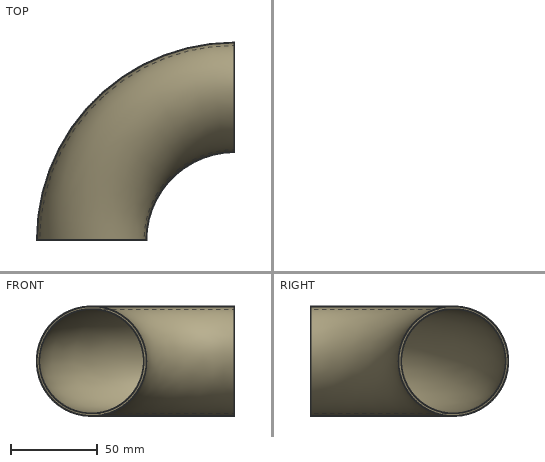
import cadquery as cq

overall_length = 114.2
outer_diameter = 63.5
wall_thickness = 1.6
bend_angle = 90.0

outer_radius = outer_diameter / 2
inner_radius = outer_radius - wall_thickness
bend_radius = overall_length - outer_radius


def pipe_bend():
    """Sweep the pipe ring from the open end facing -Y to the one facing +X."""
    ring = (
        cq.Workplane("XZ")
        .center(-bend_radius, 0)
        .circle(outer_radius)
        .circle(inner_radius)
    )
    axis_start = (bend_radius, 0)
    axis_end = (bend_radius, -1)
    return ring.revolve(bend_angle, axis_start, axis_end)


result = pipe_bend()